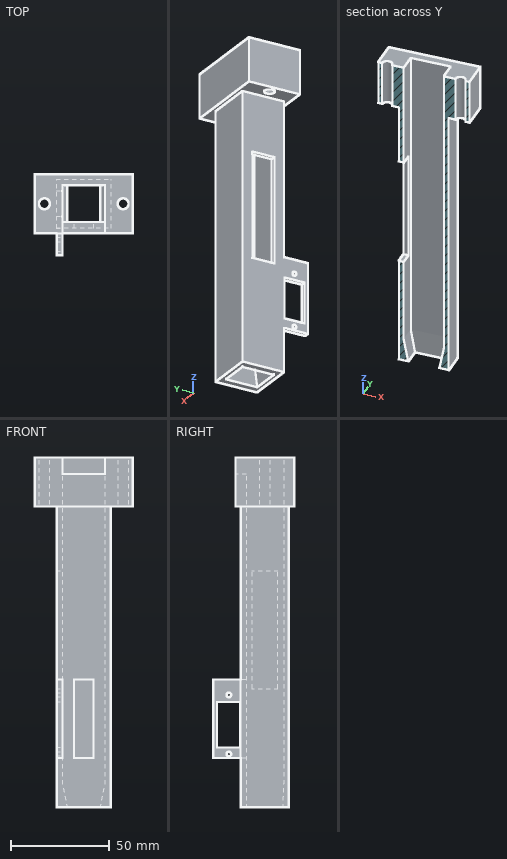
import cadquery as cq

total_height = 177.8
head_width = 50.0
head_depth = 30.0
head_height = 25.0
wall = 2.85

tube_width = 27.5
tube_depth = 24.5
center_y = tube_depth / 2
head_bottom = total_height - head_height
head_front = center_y - head_depth / 2

bore_width = tube_width - 2 * wall
bore_front = 3.0
bore_back = 21.9
outlet_width = 16.7
back_taper = 0.5
outlet_back = bore_back - back_taper
funnel_height = 13.0

notch_height = 8.4

screw_diameter = 5.4
screw_spacing = 40.0

window_bottom = 60.0
window_height = 60.0
window_width = 13.0
window_front = center_y - window_width / 2

plate_thickness = 3.0
plate_reach = 14.0
plate_bottom = 25.0
plate_height = 40.0
cutout_reach = 12.0
cutout_bottom = 30.5
cutout_height = 23.0
cutout_gap = 0.25
cutout_width = cutout_reach - cutout_gap
pin_diameter = 2.2
pin_reach = 6.0
lower_pin_height = 27.1
pin_spacing = 30.0

opening_width = 10.0


def box(x, y, z, width, depth, height):
    """Box with its lowest corner at (x, y, z)."""
    return cq.Workplane("XY").box(width, depth, height, centered=False).translate((x, y, z))


def make_outer_body():
    tube = box(-tube_width / 2, 0, 0, tube_width, tube_depth, total_height)
    head = box(-head_width / 2, head_front, head_bottom, head_width, head_depth, head_height)
    return tube.union(head)


def make_bore():
    bore_depth = bore_back - bore_front
    outlet_depth = outlet_back - bore_front
    straight = box(
        -bore_width / 2, bore_front, funnel_height,
        bore_width, bore_depth, total_height - funnel_height,
    )
    funnel = (
        cq.Workplane("XY")
        .center(0, bore_front + outlet_depth / 2)
        .rect(outlet_width, outlet_depth)
        .workplane(offset=funnel_height)
        .center(0, (bore_depth - outlet_depth) / 2)
        .rect(bore_width, bore_depth)
        .loft(ruled=True)
    )
    return straight.union(funnel)


def make_notch():
    return box(
        -bore_width / 2, head_front, total_height - notch_height,
        bore_width, bore_front - head_front, notch_height,
    )


def make_screw_holes():
    return (
        cq.Workplane("XY", origin=(0, center_y, head_bottom))
        .pushPoints([(-screw_spacing / 2, 0), (screw_spacing / 2, 0)])
        .circle(screw_diameter / 2)
        .extrude(head_height)
    )


def make_window():
    return box(-tube_width / 2, window_front, window_bottom, wall, window_width, window_height)


def make_plate():
    return box(-tube_width / 2, -plate_reach, plate_bottom, plate_thickness, plate_reach, plate_height)


def make_plate_openings():
    cutout = box(
        -tube_width / 2, -cutout_reach, cutout_bottom,
        plate_thickness, cutout_width, cutout_height,
    )
    pin_holes = (
        cq.Workplane("YZ", origin=(-tube_width / 2, 0, 0))
        .pushPoints([(-pin_reach, lower_pin_height), (-pin_reach, lower_pin_height + pin_spacing)])
        .circle(pin_diameter / 2)
        .extrude(plate_thickness)
    )
    return cutout.union(pin_holes)


def make_front_opening():
    return box(-opening_width / 2, 0, plate_bottom, opening_width, bore_front, plate_height)


result = (
    make_outer_body()
    .union(make_plate())
    .cut(make_bore())
    .cut(make_notch())
    .cut(make_screw_holes())
    .cut(make_window())
    .cut(make_front_opening())
    .cut(make_plate_openings())
)